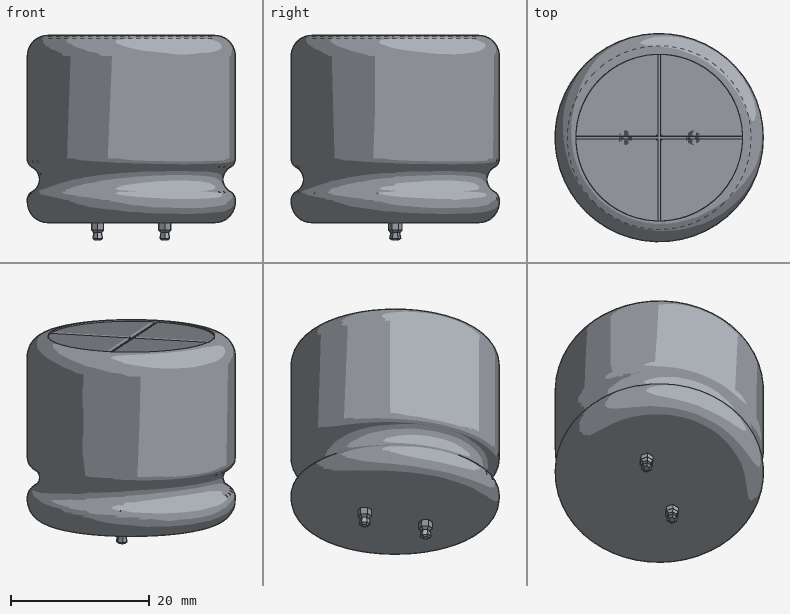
import cadquery as cq
import math

can_radius = 15.0
can_height = 27.0
end_round = 3.0

crimp_height = 6.25
crimp_depth = 1.77
crimp_radius = 1.98
crimp_shoulder_radius = 1.4

vent_radius = can_radius - end_round
vent_depth = 0.2
score_floor_width = 0.33
score_lip_radius = 0.25

label_width = 5.88
label_height = 5.4
label_corner_diameter = 3.15
label_pitch = 7.2
label_count = 3
lowest_label_height = 6.3
label_block_depth = 3.0

pin_offset = 4.83
pin_sides = 6
pin_sections = [(0.0, 2.0), (1.02, 2.0), (1.4, 1.3), (2.25, 1.62), (2.5, 0.9)]


def make_can():
    """Revolve the can outline, with arcs tangent to each other through the crimp."""
    crimp_center_radius = can_radius - crimp_depth + crimp_radius
    shoulder_center_radius = can_radius - crimp_shoulder_radius
    center_distance = crimp_radius + crimp_shoulder_radius
    radial_gap = crimp_center_radius - shoulder_center_radius
    shoulder_rise = math.sqrt(center_distance**2 - radial_gap**2)
    lean = math.atan2(shoulder_rise, radial_gap)

    tangent_radius = shoulder_center_radius + crimp_shoulder_radius * math.cos(lean)
    tangent_rise = shoulder_rise - crimp_shoulder_radius * math.sin(lean)
    shoulder_mid_radius = shoulder_center_radius + crimp_shoulder_radius * math.cos(lean / 2)
    shoulder_mid_rise = shoulder_rise - crimp_shoulder_radius * math.sin(lean / 2)
    round_mid = end_round * (1 - math.sqrt(0.5))

    outline = (
        cq.Workplane("XZ")
        .lineTo(can_radius - end_round, 0)
        .threePointArc((can_radius - round_mid, round_mid), (can_radius, end_round))
        .lineTo(can_radius, crimp_height - shoulder_rise)
        .threePointArc(
            (shoulder_mid_radius, crimp_height - shoulder_mid_rise),
            (tangent_radius, crimp_height - tangent_rise),
        )
        .threePointArc(
            (can_radius - crimp_depth, crimp_height),
            (tangent_radius, crimp_height + tangent_rise),
        )
        .threePointArc(
            (shoulder_mid_radius, crimp_height + shoulder_mid_rise),
            (can_radius, crimp_height + shoulder_rise),
        )
        .lineTo(can_radius, can_height - end_round)
        .threePointArc(
            (can_radius - round_mid, can_height - round_mid),
            (can_radius - end_round, can_height),
        )
        .lineTo(0, can_height)
        .close()
    )
    return outline.revolve(360, (0, 0, 0), (0, 1, 0))


def make_vent_cut():
    """Shallow round recess plus two crossed grooves with rounded lips."""
    vent_floor = can_height - vent_depth
    recess = cq.Workplane("XY").workplane(offset=vent_floor).circle(vent_radius).extrude(vent_depth)

    half_floor = score_floor_width / 2
    half_top = half_floor + score_lip_radius
    bottom = vent_floor - score_lip_radius
    lip_mid = score_lip_radius * math.sqrt(0.5)
    score = (
        cq.Workplane("XZ")
        .moveTo(-half_floor, bottom)
        .lineTo(half_floor, bottom)
        .threePointArc((half_top - lip_mid, bottom + lip_mid), (half_top, vent_floor))
        .lineTo(-half_top, vent_floor)
        .threePointArc((lip_mid - half_top, bottom + lip_mid), (-half_floor, bottom))
        .close()
        .extrude(can_radius, both=True)
    )
    cross = score.union(score.rotate((0, 0, 0), (0, 0, 1), 90))
    core = cq.Workplane("XY").circle(vent_radius).extrude(can_height)
    return recess.union(cross.intersect(core))


def make_label_block(height):
    """Prism on the -X side that covers one label area."""
    return (
        cq.Workplane("YZ")
        .workplane(offset=-can_radius - label_block_depth)
        .center(0, height)
        .rect(label_width, label_height)
        .extrude(2 * label_block_depth)
        .edges("|X")
        .fillet(label_corner_diameter / 2)
    )


def pin_section(depth, width):
    """Hexagonal pin outline with corners toward +Y and -Y."""
    corner_angles = [90 + corner * 360 / pin_sides for corner in range(pin_sides)]
    corners = [
        cq.Vector(
            width / 2 * math.cos(math.radians(angle)),
            width / 2 * math.sin(math.radians(angle)),
            -depth,
        )
        for angle in corner_angles
    ]
    return cq.Wire.makePolygon(corners, close=True)


def make_pin():
    """Hexagonal terminal with a tapered neck and a flared tip, hanging below the can."""
    sections = [pin_section(depth, width) for depth, width in pin_sections]
    return cq.Workplane(obj=cq.Solid.makeLoft(sections, True))


result = make_can().cut(make_vent_cut())

for side in (-1, 1):
    result = result.union(make_pin().translate((side * pin_offset, 0, 0)))

for index in range(label_count):
    block = make_label_block(lowest_label_height + index * label_pitch)
    label = result.intersect(block, clean=False)
    result = result.cut(block, clean=False).union(label, clean=False)